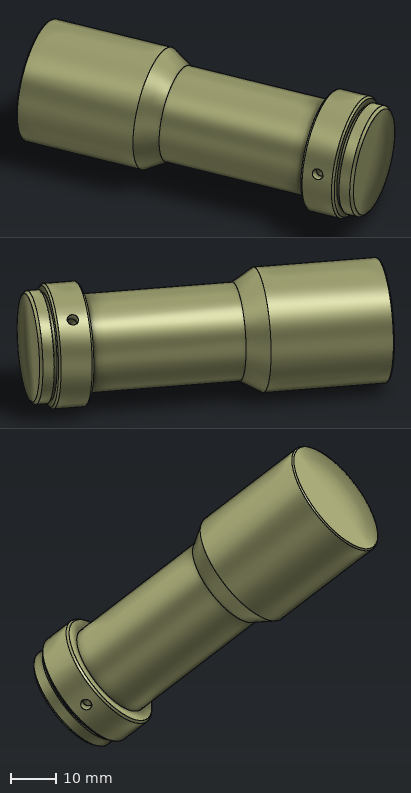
import cadquery as cq
import math

total_length = 79.9
head_end = 28.0
taper_end = 33.0
collar_start = 67.9
collar_end = 75.9
flange_start = 76.7

head_radius = 14.0
barrel_radius = 11.0
collar_radius = head_radius
neck_radius = 12.0
flange_radius = 12.7

head_chamfer = 0.3
collar_chamfer = 0.5
flange_chamfer = 0.6

hole_count = 3
first_hole_angle = 45.0
hole_diameter = 2.5
hole_depth = 2.4
drill_point_angle = 118.0

left_end = -total_length / 2


def cylinder(start, end, radius):
    """Solid cylinder on the X axis between two stations."""
    plane = cq.Workplane("YZ", origin=(left_end + start, 0, 0))
    return plane.circle(radius).extrude(end - start)


def make_taper():
    """Cone that reduces the head to the barrel."""
    profile = [
        (left_end + head_end, 0),
        (left_end + head_end, head_radius),
        (left_end + taper_end, barrel_radius),
        (left_end + taper_end, 0),
    ]
    return cq.Workplane("XY").polyline(profile).close().revolve(360, (0, 0, 0), (1, 0, 0))


def make_hole(angle):
    """Drilled blind hole with a conical bottom, running inwards from the collar surface."""
    radius = hole_diameter / 2
    point_length = radius / math.tan(math.radians(drill_point_angle / 2))
    floor = collar_radius - hole_depth
    profile = [
        (0, floor - point_length),
        (radius, floor),
        (radius, collar_radius + hole_diameter),
        (0, collar_radius + hole_diameter),
    ]
    drill = cq.Workplane("XY").polyline(profile).close().revolve(360, (0, 0, 0), (0, 1, 0))
    collar_middle = left_end + (collar_start + collar_end) / 2
    return drill.translate((collar_middle, 0, 0)).rotate((0, 0, 0), (1, 0, 0), angle)


head = cylinder(0, head_end, head_radius).faces("<X").chamfer(head_chamfer)
barrel = cylinder(taper_end, collar_start, barrel_radius)
collar = cylinder(collar_start, collar_end, collar_radius).faces("<X or >X").chamfer(collar_chamfer)
neck = cylinder(collar_end, flange_start, neck_radius)
flange = cylinder(flange_start, total_length, flange_radius).faces(">X").chamfer(flange_chamfer)

result = head.union(make_taper()).union(barrel).union(collar).union(neck).union(flange)

for index in range(hole_count):
    result = result.cut(make_hole(first_hole_angle + index * 360 / hole_count))